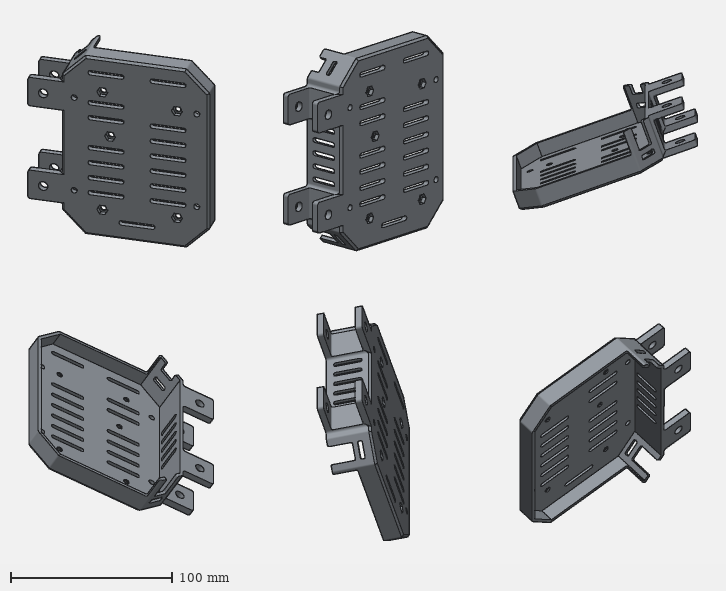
import cadquery as cq
import math

body_width = 95.0
body_height = 125.0
corner_cut = 15.0
corner_radius = 2.0
wall = 2.2
floor = 4.0
front_chamfer = 1.5
low_depth = 13.0
tall_depth = 28.8
left_face = -body_width / 2

step_x = -30.8
step_top_radius = 1.0
step_foot_radius = 1.0

tab_reach = 22.0
tab_height = 20.0
front_tab_thickness = 4.4
back_tab_thickness = 4.0
tab_spacing = 65.0
tab_corner_radius = 2.0
tab_hole_diameter = 6.0
tab_hole_inset = 10.0
pad_thickness = 2.0
pad_root_radius = 1.0

slot_width = 3.0
slot_length = 23.0
slot_pitch_x = 20.0
slot_pitch_z = 10.5
slot_center_x = 1.0
slot_center_z = -1.1
left_slot_rows = (5, 3, 2, 0, -1, -2, -3)
right_slot_rows = (5, 2, 1, 0, -1, -2, -3)
bottom_slot_z = -51.0
mount_hole_diameter = 3.8
mount_hole_spacing_x = 79.0
nut_across_flats = 6.0
nut_pocket_depth = 3.0
nut_positions = [(-21.4, 38.9), (-16.4, 8.5), (-21.4, -43.6), (26.8, 32.6), (26.8, -42.2)]

vent_count = 5
vent_pitch = 8.5
vent_length = 18.0
vent_center_y = 14.9

mouth_radius = 1.0
opening_corner_radius = 1.0
upper_opening_length = 10.0
upper_notch_floor = 22.8
upper_slot_y = 15.1
lower_opening_length = 11.2
lower_notch_floor = 13.0
lower_slot_y = 8.2


def plate_plane(y=0.0):
    """Workplane in XZ at depth y; a negative extrusion goes towards +Y."""
    return cq.Workplane("XZ", origin=(0, y, 0))


def octagon(inset, depth, start):
    """Octagonal prism, inset evenly from the tray's outer side."""
    block = plate_plane(start).rect(body_width - 2 * inset, body_height - 2 * inset).extrude(-depth)
    cut = corner_cut - inset * (2 - math.sqrt(2))
    return block.edges("|Y").chamfer(cut)


def tray():
    outer = octagon(0, tall_depth, 0).faces("<Y").edges().chamfer(front_chamfer)
    outer = outer.edges("|Y").fillet(corner_radius)
    cavity = octagon(wall, tall_depth, floor)
    return outer.cut(cavity).intersect(side_profile())


def side_profile():
    """L-shaped prism along Z that leaves the tall wall on the left only."""
    span = body_width + 2 * tab_reach
    low = cq.Workplane("XY").box(span, low_depth, body_height, centered=(True, False, True))
    tall = (
        cq.Workplane("XY")
        .box(span, tall_depth, body_height, centered=(True, False, True))
        .translate((step_x - span / 2, 0, 0))
    )
    profile = low.union(tall)
    foot = cq.selectors.NearestToPointSelector((step_x, low_depth, 0))
    top = cq.selectors.NearestToPointSelector((step_x, tall_depth, 0))
    profile = profile.edges("|Z").edges(foot).fillet(step_foot_radius)
    return profile.edges("|Z").edges(top).fillet(step_top_radius)


def hinge(z):
    """Pair of tabs with the flared pad that joins them to the left wall."""
    half = tab_height / 2
    pad_face = left_face - pad_thickness
    tab_tip = left_face - tab_reach
    inner_face = left_face + wall
    gap = tall_depth - front_tab_thickness - back_tab_thickness

    block = (
        plate_plane()
        .center((tab_tip + inner_face) / 2, z)
        .rect(inner_face - tab_tip, tab_height)
        .extrude(-tall_depth)
        .edges("|Y and <X")
        .fillet(tab_corner_radius)
    )
    opening = (
        cq.Workplane("XY")
        .box(pad_face - tab_tip, gap, tab_height, centered=(False, False, True))
        .translate((tab_tip, front_tab_thickness, z))
        .edges("|Z and >X")
        .fillet(pad_root_radius)
    )
    holes = (
        plate_plane()
        .center(tab_tip + tab_hole_inset, z)
        .circle(tab_hole_diameter / 2)
        .extrude(-tall_depth)
    )

    flare_half = half + pad_thickness
    blend = pad_thickness * (1 - math.sqrt(0.5))
    flare = (
        plate_plane()
        .moveTo(inner_face, z - flare_half)
        .lineTo(left_face, z - flare_half)
        .threePointArc((left_face - blend, z - half - blend), (pad_face, z - half))
        .lineTo(pad_face, z + half)
        .threePointArc((left_face - blend, z + half + blend), (left_face, z + flare_half))
        .lineTo(inner_face, z + flare_half)
        .close()
        .extrude(-tall_depth)
    )
    slope_reach = front_chamfer + pad_thickness
    slope = (
        cq.Workplane("XY", origin=(0, 0, z - flare_half))
        .moveTo(left_face + front_chamfer, 0)
        .lineTo(pad_face, slope_reach)
        .lineTo(pad_face, 0)
        .close()
        .extrude(2 * flare_half)
    )
    return block.cut(opening).cut(holes).union(flare.cut(slope).cut(opening))


def floor_cutters():
    left_x = slot_center_x - slot_pitch_x
    right_x = slot_center_x + slot_pitch_x
    slots = [(left_x, slot_center_z + row * slot_pitch_z) for row in left_slot_rows]
    slots += [(right_x, slot_center_z + row * slot_pitch_z) for row in right_slot_rows]
    slots.append((slot_center_x, bottom_slot_z))
    nut_across_corners = nut_across_flats / math.cos(math.pi / 6)
    return [
        plate_plane().pushPoints(slots).slot2D(slot_length, slot_width).extrude(-floor),
        plate_plane()
        .rect(mount_hole_spacing_x, tab_spacing, forConstruction=True)
        .vertices()
        .circle(mount_hole_diameter / 2)
        .extrude(-floor),
        plate_plane().pushPoints(nut_positions).circle(mount_hole_diameter / 2).extrude(-floor),
        plate_plane().pushPoints(nut_positions).polygon(6, nut_across_corners).extrude(-nut_pocket_depth),
    ]


def vent_cutter():
    return (
        cq.Workplane("YZ", origin=(left_face, vent_center_y, 0))
        .rarray(1.2, vent_pitch, 1, vent_count)
        .slot2D(vent_length, slot_width)
        .extrude(wall)
    )


def slant_cutter(side, length, notch_floor, slot_y):
    """Open notch and closed slot through a slanted wall; side is +1 for the upper, -1 for the lower."""
    middle = (left_face + corner_cut / 2, 0, side * (body_height - corner_cut) / 2)
    plane = cq.Plane(origin=middle, xDir=(1, 0, side), normal=(-1, 0, side))
    depth = 2 * wall
    half = length / 2
    mouth_start = tall_depth - mouth_radius
    notch = (
        cq.Workplane(plane)
        .moveTo(-half - mouth_radius, side * tall_depth)
        .radiusArc((-half, side * mouth_start), side * mouth_radius)
        .lineTo(-half, side * notch_floor)
        .lineTo(half, side * notch_floor)
        .lineTo(half, side * mouth_start)
        .radiusArc((half + mouth_radius, side * tall_depth), side * mouth_radius)
        .close()
        .extrude(depth, both=True)
    )
    inner_corners = cq.selectors.BoxSelector(
        (-body_width, notch_floor - mouth_radius, -body_height),
        (body_width, notch_floor + mouth_radius, body_height),
    )
    through_edges = cq.selectors.ParallelDirSelector(plane.zDir)
    notch = notch.edges(through_edges).edges(inner_corners).fillet(opening_corner_radius)
    slot = (
        cq.Workplane(plane)
        .center(0, side * slot_y)
        .rect(length, slot_width)
        .extrude(depth, both=True)
        .edges(through_edges)
        .fillet(opening_corner_radius)
    )
    return notch.union(slot)


result = tray()
for hinge_z in (tab_spacing / 2, -tab_spacing / 2):
    result = result.union(hinge(hinge_z))
for cutter in floor_cutters():
    result = result.cut(cutter)
result = result.cut(vent_cutter())
upper_cutter = slant_cutter(1, upper_opening_length, upper_notch_floor, upper_slot_y)
lower_cutter = slant_cutter(-1, lower_opening_length, lower_notch_floor, lower_slot_y)
result = result.cut(upper_cutter).cut(lower_cutter)